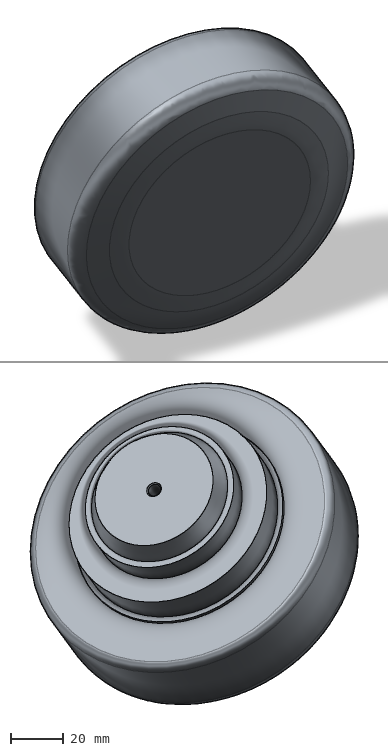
import cadquery as cq
import math

total_length = 67.8

tip_radius = 23.9
taper_base_radius = 27.5
taper_length = 6.4
pin_radius = 30.0
pin_end = 16.1
hub_radius = 40.0
hub_end = 28.9
collar_radius = 42.1
collar_end = 30.3

roller_radius = 61.5
inner_rim_fillet = 3.1
outer_rim_fillet = 6.0
face_flat_radius = 43.3
face_cone_angle = 9.5
face_blend_radius = 49.2

hole_radius = 2.5
hole_mouth_chamfer = 0.5
hole_depth = 9.8
drill_point_angle = 120.0

face_drop = (roller_radius - face_flat_radius) * math.tan(math.radians(face_cone_angle))
outer_rim_x = total_length - face_drop


def revolve_about_x(points):
    """Turn a closed (x, radius) outline a full revolution about the X axis."""
    return cq.Workplane("XY").polyline(points).close().revolve(360, (0, 0, 0), (1, 0, 0))


def circle_edge_at(x, radius):
    """Select the circular edge centred on the X axis at the given place and radius."""
    margin = 0.1
    reach = radius + margin
    return cq.selectors.BoxSelector(
        (x - margin, -reach, -reach), (x + margin, reach, reach), boundingbox=True
    )


def make_pin():
    return revolve_about_x([
        (0, 0),
        (0, tip_radius),
        (taper_length, taper_base_radius),
        (taper_length, pin_radius),
        (pin_end, pin_radius),
        (pin_end, hub_radius),
        (hub_end, hub_radius),
        (hub_end, collar_radius),
        (collar_end, collar_radius),
        (collar_end, 0),
    ])


def make_roller():
    roller = revolve_about_x([
        (collar_end, 0),
        (collar_end, roller_radius),
        (outer_rim_x, roller_radius),
        (total_length, face_flat_radius),
        (total_length, 0),
    ])
    roller = roller.edges(circle_edge_at(total_length, face_flat_radius)).fillet(face_blend_radius)
    roller = roller.edges(circle_edge_at(outer_rim_x, roller_radius)).fillet(outer_rim_fillet)
    return roller.edges(circle_edge_at(collar_end, roller_radius)).fillet(inner_rim_fillet)


def make_blind_hole():
    point_depth = hole_radius / math.tan(math.radians(drill_point_angle / 2))
    return revolve_about_x([
        (0, 0),
        (0, hole_radius + hole_mouth_chamfer),
        (hole_mouth_chamfer, hole_radius),
        (hole_depth, hole_radius),
        (hole_depth + point_depth, 0),
    ])


result = make_pin().union(make_roller()).cut(make_blind_hole())